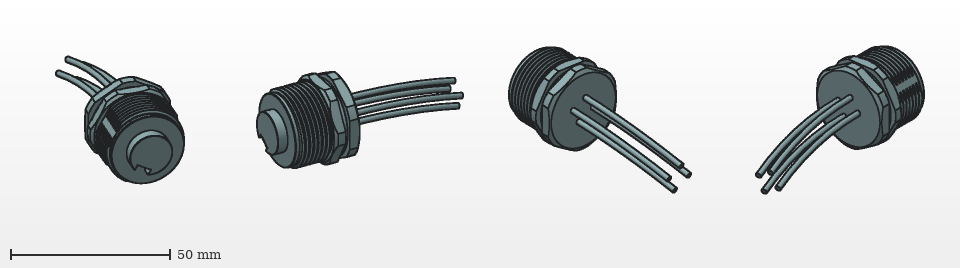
import cadquery as cq
import math

KEYING_ANGLE = -30.0

SEALED_NUT_LENGTH = 4.0
SEAL_LENGTH = 1.9
LOCK_NUT_LENGTH = 3.6
THREAD_LENGTH = 11.55
COLLAR_LENGTH = 1.5
NOSE_LENGTH = 3.55

SEAL_X = SEALED_NUT_LENGTH
LOCK_NUT_X = SEAL_X + SEAL_LENGTH
THREAD_X = LOCK_NUT_X + LOCK_NUT_LENGTH
COLLAR_X = THREAD_X + THREAD_LENGTH
NOSE_X = COLLAR_X + COLLAR_LENGTH

ACROSS_FLATS = 27.0
NUT_CORNER_DIAMETER = 28.95
SEALED_NUT_FACE_DIAMETER = 26.0
SEALED_NUT_TURN = 30
LOCK_NUT_FACE_DIAMETER = 26.85
LOCK_NUT_TURN = 0
NUT_CHAMFER_LENGTH = 0.9

RIDGE_LENGTH = 12.05
THREAD_TURNS = 8
PITCH = RIDGE_LENGTH / THREAD_TURNS
CREST_RADIUS = 12.95
ROOT_RADIUS = 12.05
CREST_WIDTH = 0.2
RIDGE_BASE_WIDTH = 1.2
RIDGE_EMBED = 0.2
THREAD_LEAD_IN = 0.85
FLAT_DISTANCE = 12.0

SEAL_RADIUS = 13.0
COLLAR_RADIUS = 12.1
COLLAR_CHAMFER = 0.2
NOSE_RADIUS = 7.0
NOSE_CHAMFER = 0.15
KEY_SLOT_WIDTH = 5.1
KEY_SLOT_FLOOR = 4.6

WIRE_RADIUS = 1.0
WIRE_REACH = 43.1
WIRE_DROP = 7.9
WIRE_EMBED = 0.7
UPPER_ROW_HEIGHT = 3.4
UPPER_ROW_SPACING = 5.8
LOWER_ROW_HEIGHT = -2.0
LOWER_ROW_SPACING = 6.6


def cylinder(start, length, radius):
    return cq.Workplane("YZ", origin=(start, 0, 0)).circle(radius).extrude(length)


def revolve_about_x(outline):
    return outline.close().revolve(360, (0, 0, 0), (1, 0, 0))


def hex_nut(length, face_diameter, turn):
    """Hexagon with rounded corners and a conical chamfer on its x = 0 face."""
    corner_radius = NUT_CORNER_DIAMETER / 2
    envelope = revolve_about_x(
        cq.Workplane("XY")
        .lineTo(0, face_diameter / 2)
        .lineTo(NUT_CHAMFER_LENGTH, corner_radius)
        .lineTo(length, corner_radius)
        .lineTo(length, 0)
    )
    hexagon = (
        cq.Workplane("YZ")
        .polygon(6, ACROSS_FLATS, circumscribed=True)
        .extrude(length)
        .rotate((0, 0, 0), (1, 0, 0), turn)
    )
    return hexagon.intersect(envelope)


def sealed_nut():
    """Rear nut with its chamfer facing the wires."""
    return hex_nut(SEALED_NUT_LENGTH, SEALED_NUT_FACE_DIAMETER, SEALED_NUT_TURN)


def lock_nut():
    """Second nut, turned by half a flat, with its chamfer facing forward."""
    nut = hex_nut(LOCK_NUT_LENGTH, LOCK_NUT_FACE_DIAMETER, LOCK_NUT_TURN)
    return nut.mirror("YZ").translate((THREAD_X, 0, 0))


def seal():
    """Sealing ring with a half-round rim between the nuts."""
    shoulder = SEAL_RADIUS - SEAL_LENGTH / 2
    return revolve_about_x(
        cq.Workplane("XY")
        .moveTo(SEAL_X, 0)
        .lineTo(SEAL_X, shoulder)
        .threePointArc((SEAL_X + SEAL_LENGTH / 2, SEAL_RADIUS), (LOCK_NUT_X, shoulder))
        .lineTo(LOCK_NUT_X, 0)
    )


def thread_ridge():
    """Right-hand helical ridge that starts inside the lock nut and stops at the collar."""
    foot = ROOT_RADIUS - RIDGE_EMBED
    helix = cq.Wire.makeHelix(PITCH, RIDGE_LENGTH, foot)
    ridge = (
        cq.Workplane("XZ")
        .moveTo(foot, -RIDGE_BASE_WIDTH / 2)
        .lineTo(CREST_RADIUS, -CREST_WIDTH / 2)
        .lineTo(CREST_RADIUS, CREST_WIDTH / 2)
        .lineTo(foot, RIDGE_BASE_WIDTH / 2)
        .close()
        .sweep(cq.Workplane(helix), isFrenet=True)
    )
    along_x = ridge.rotate((0, 0, 0), (0, 1, 0), 90)
    placed = along_x.translate((THREAD_X - THREAD_LEAD_IN, 0, 0))
    return placed.cut(cylinder(COLLAR_X, COLLAR_LENGTH, 2 * CREST_RADIUS))


def threaded_barrel():
    """Threaded barrel with a flat along its -Y side."""
    core = cylinder(LOCK_NUT_X, COLLAR_X - LOCK_NUT_X, ROOT_RADIUS)
    barrel = core.union(thread_ridge())
    beyond_flat = cq.Workplane("XY").box(
        THREAD_LENGTH, CREST_RADIUS, 2 * CREST_RADIUS, centered=(False, False, True)
    )
    return barrel.cut(beyond_flat.translate((THREAD_X, -FLAT_DISTANCE - CREST_RADIUS, 0)))


def collar():
    return cylinder(COLLAR_X, COLLAR_LENGTH, COLLAR_RADIUS).faces(">X").chamfer(COLLAR_CHAMFER)


def nose():
    """Plug nose with a flat-bottomed key slot along its underside."""
    plug = cylinder(NOSE_X, NOSE_LENGTH, NOSE_RADIUS).faces(">X").chamfer(NOSE_CHAMFER)
    slot = cq.Workplane("XY").box(
        NOSE_LENGTH, KEY_SLOT_WIDTH, NOSE_RADIUS, centered=(False, True, False)
    )
    return plug.cut(slot.translate((NOSE_X, 0, -KEY_SLOT_FLOOR - NOSE_RADIUS)))


def wire(y, z):
    """Wire that leaves the rear face along -X and sags along a circular arc."""
    bend_radius = (WIRE_REACH**2 + WIRE_DROP**2) / (2 * WIRE_DROP)
    half_angle = math.asin(WIRE_REACH / bend_radius) / 2
    middle_x = -bend_radius * math.sin(half_angle)
    middle_z = -bend_radius * (1 - math.cos(half_angle))
    path = (
        cq.Workplane("XZ", origin=(0, y, z))
        .threePointArc((middle_x, middle_z), (-WIRE_REACH, -WIRE_DROP))
    )
    section = cq.Workplane("YZ", origin=(0, y, z)).circle(WIRE_RADIUS)
    root = cq.Workplane("YZ", origin=(0, y, z)).circle(WIRE_RADIUS).extrude(WIRE_EMBED)
    return section.sweep(path).union(root)


connector = sealed_nut()
for piece in (seal(), lock_nut(), threaded_barrel(), collar(), nose()):
    connector = connector.union(piece)

wire_rows = (
    (UPPER_ROW_HEIGHT, UPPER_ROW_SPACING),
    (LOWER_ROW_HEIGHT, LOWER_ROW_SPACING),
)
for row_height, row_spacing in wire_rows:
    for side in (-1, 1):
        connector = connector.union(wire(side * row_spacing / 2, row_height))

result = connector.rotate((0, 0, 0), (1, 0, 0), KEYING_ANGLE)